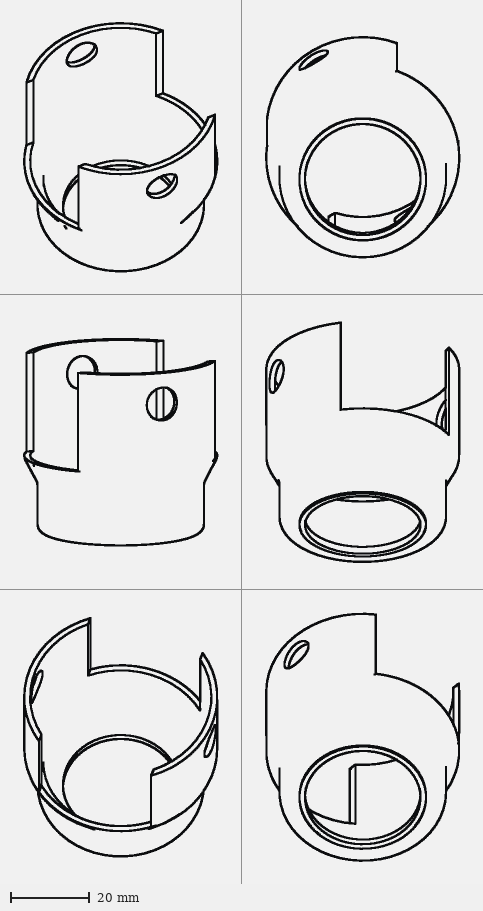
import cadquery as cq
import math

rim_radius = 24.5
total_height = 45.5

spigot_radius = 16.05
spigot_height = 0.5
body_radius = 21.15
body_corner = 1.95
wall = 1.5
floor_thickness = wall
bore_radius = body_radius - wall
inner_corner = 1.0
floor_hole_radius = 14.65
cone_blend = 1.7
cone_bottom = 13.25
cone_top = 19.65
rim_height = 20.1

slot_width = 30.25
cross_hole_diameter = 8.5
cross_hole_height = 37.55

cone_angle = math.atan2(rim_radius - body_radius, cone_top - cone_bottom)
inner_shift = wall * math.tan(cone_angle / 2)


def revolve_profile(points):
    """Solid of revolution about Z from (radius, height) points."""
    return cq.Workplane("XZ").polyline(points).close().revolve(360, (0, 0), (0, 1))


def round_edge(solid, radius, height, size):
    """Fillet the circular edge with the given radius and height."""
    margin = 0.05
    lower = (-radius - margin, -radius - margin, height - margin)
    upper = (radius + margin, radius + margin, height + margin)
    edges = solid.edges(cq.selectors.BoxSelector(lower, upper, boundingbox=True))
    ring = edges.filter(lambda e: e.geomType() == "CIRCLE" and abs(e.radius() - radius) < margin)
    return ring.fillet(size)


outer = revolve_profile([
    (0, spigot_height),
    (body_radius, spigot_height),
    (body_radius, cone_bottom),
    (rim_radius, cone_top),
    (rim_radius, total_height),
    (0, total_height),
])
outer = round_edge(outer, body_radius, spigot_height, body_corner)
outer = round_edge(outer, body_radius, cone_bottom, cone_blend)
outer = round_edge(outer, rim_radius, cone_top, cone_blend)
outer = outer.union(cq.Workplane("XY").circle(spigot_radius).extrude(spigot_height))

floor_top = spigot_height + floor_thickness
cavity = revolve_profile([
    (0, floor_top),
    (bore_radius, floor_top),
    (bore_radius, cone_bottom + inner_shift),
    (rim_radius - wall, cone_top + inner_shift),
    (rim_radius - wall, total_height),
    (0, total_height),
])
cavity = round_edge(cavity, bore_radius, floor_top, inner_corner)
cavity = round_edge(cavity, bore_radius, cone_bottom + inner_shift, inner_corner)
cavity = round_edge(cavity, rim_radius - wall, cone_top + inner_shift, inner_corner)
floor_hole = cq.Workplane("XY").circle(floor_hole_radius).extrude(total_height)

slot = (
    cq.Workplane("XY", origin=(0, 0, rim_height))
    .rect(slot_width, 2 * rim_radius)
    .extrude(total_height - rim_height)
)

cross_hole = (
    cq.Workplane("YZ", origin=(0, 0, cross_hole_height))
    .circle(cross_hole_diameter / 2)
    .extrude(rim_radius, both=True)
)

result = outer.cut(cavity).cut(floor_hole).cut(slot).cut(cross_hole)